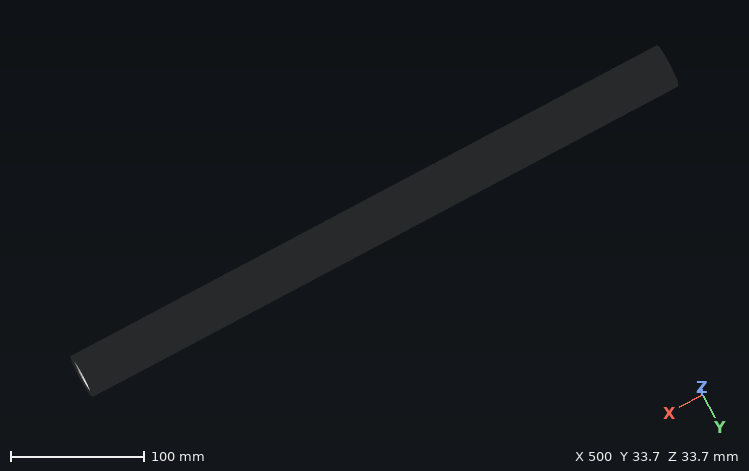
import cadquery as cq
import math

length = 500.0
major_diameter = 33.7
bore_diameter = 29.4

pitch = 1.25
flank_angle = math.radians(30.0)
sharp_height = pitch / (2 * math.tan(flank_angle))
thread_depth = sharp_height * 5 / 8
root_width = pitch / 4
crest_width = pitch / 8

root_angle = -31.5

turns_per_segment = 10
segment_length = turns_per_segment * pitch
segment_count = round(length / segment_length)

overrun_turns = 2
sewing_tolerance = 1e-3

major_radius = major_diameter / 2
root_radius = major_radius - thread_depth
bore_radius = bore_diameter / 2

origin = cq.Vector(0, 0, 0)
x_axis = cq.Vector(1, 0, 0)


def along_x(shape, distance):
    """Copy of a shape moved along X."""
    return shape.translate(x_axis * distance)


def make_helix(radius, offset):
    """Helix about X that overruns the segment, set off along X from the root's centre line."""
    height = segment_length + 2 * overrun_turns * pitch
    upright = cq.Wire.makeHelix(pitch, height, radius)
    lying = upright.rotate(origin, cq.Vector(1, 1, 1), 120)
    turned = lying.rotate(origin, x_axis, root_angle)
    return along_x(turned, offset - overrun_turns * pitch)


def make_segment_skin():
    """Root, flank, crest and flank strips of the thread, trimmed to one segment."""
    half_root = root_width / 2
    crest_start = (pitch - crest_width) / 2
    edge_lines = [
        make_helix(root_radius, -half_root),
        make_helix(root_radius, half_root),
        make_helix(major_radius, crest_start),
        make_helix(major_radius, crest_start + crest_width),
        make_helix(root_radius, pitch - half_root),
    ]
    trimmer = cq.Solid.makeCylinder(major_diameter, segment_length, origin, x_axis)
    skin = []
    for near_line, far_line in zip(edge_lines, edge_lines[1:]):
        strip = cq.Face.makeRuledSurface(near_line, far_line)
        skin.extend(strip.intersect(trimmer).Faces())
    return skin


def make_end_face(skin):
    """Flat face at x = 0 between the thread outline and the bore."""
    outline_edges = cq.Workplane().newObject(skin).edges("<X").vals()
    outline = cq.Wire.assembleEdges(outline_edges)
    bore_circle = cq.Wire.makeCircle(bore_radius, origin, x_axis)
    return cq.Face.makeFromWires(outline, [bore_circle])


def make_bore_face():
    """Cylindrical wall of the through bore."""
    bore = cq.Solid.makeCylinder(bore_radius, length, origin, x_axis)
    return cq.Workplane(bore).faces("%CYLINDER").val()


def make_threaded_tube():
    """Solid enclosed by the thread skins, the two flat ends and the bore."""
    skin = make_segment_skin()
    start_face = make_end_face(skin)
    faces = [start_face, along_x(start_face, length), make_bore_face()]
    for index in range(segment_count):
        faces.extend(along_x(face, index * segment_length) for face in skin)
    shell = cq.occ_impl.shapes.shell(faces, tol=sewing_tolerance)
    return cq.Solid.makeSolid(shell)


result = cq.Workplane(make_threaded_tube())